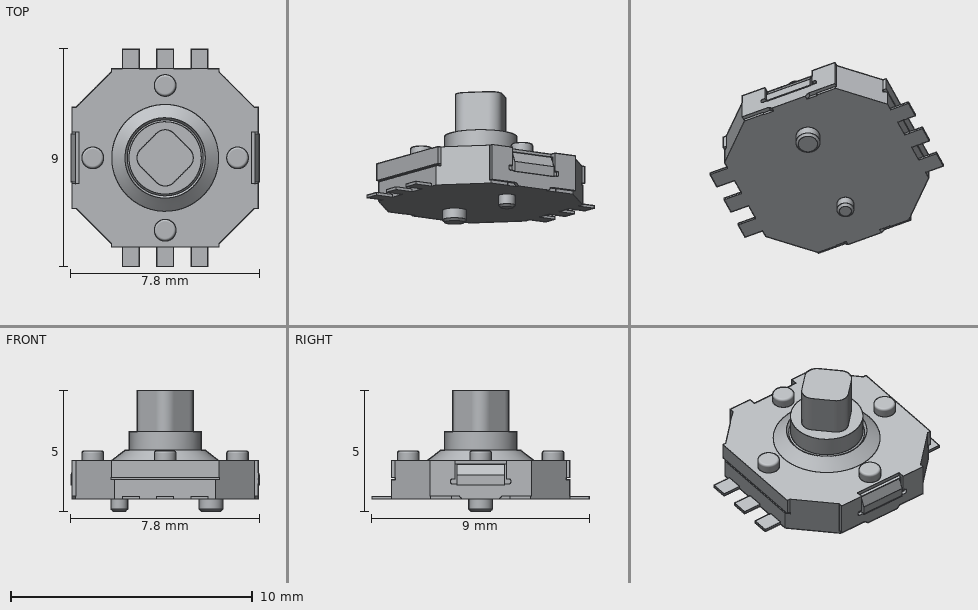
import cadquery as cq
import math


overall_width = 7.8
overall_length = 9.0
overall_height = 5.0

body_height = 1.6
base_half_x = 3.72
base_half_y = 3.7
corner_sum = 5.79

cover_thickness = 0.15
cover_half_x = 3.86
cover_corner_y = 3.55
front_flap_half_width = 2.23
groove_height = 0.08
groove_bottom = 0.81
side_flap_half_width = 2.11
side_flap_bottom = 0.135
tongue_half_width = 0.76
tongue_flare = 0.14
side_recess_half_width = 1.21
side_recess_depth = 0.03
side_inner_x = base_half_x - side_recess_depth

window_half_width = 1.07
window_inner_x = 3.57
window_bottom = 0.63
ear_half_width = 1.25
ear_height = 0.21
ear_fillet = 0.08
clip_half_width = 0.99
clip_outer_x = overall_width / 2
clip_top_x = 3.71
clip_bottom = 0.59
clip_bend_height = 1.01

collar_base_radius = 2.21
collar_top_radius = 1.665
collar_height = 0.42

post_diameter = 0.9
post_height = 0.4
post_fillet = 0.1
post_distance = 3.0
post_count = 4

small_peg_diameter = 0.7
large_peg_diameter = 1.0
peg_length = 0.5
peg_chamfer = 0.1
peg_distance = 1.9

lead_tip_y = overall_length / 2
lead_width = 0.7
lead_thickness = 0.12
lead_pitch = 1.42
leads_per_side = 3

stem_diameter = 3.0
shoulder_height = 1.2
stem_top = overall_height - peg_length
knob_width = 1.94
knob_fillet = 0.5
knob_angle = 45

collar_slope_length = math.hypot(collar_base_radius - collar_top_radius, collar_height)
rim_inset = cover_thickness * collar_height / collar_slope_length
rim_drop = cover_thickness * (collar_base_radius - collar_top_radius) / collar_slope_length
bore_radius = collar_top_radius - rim_inset
bore_top = body_height + collar_height - rim_drop
flare_rise = (bore_radius - stem_diameter / 2) * collar_height / (collar_base_radius - collar_top_radius)


def box(x_range, y_range, z_range):
    """A block between the given limits on each axis."""
    (x0, x1), (y0, y1), (z0, z1) = x_range, y_range, z_range
    return cq.Workplane("XY").box(x1 - x0, y1 - y0, z1 - z0, centered=False).translate((x0, y0, z0))


def both_sides(shape, plane):
    """The shape together with its mirror image."""
    return shape.union(shape.mirror(plane))


def make_block():
    """Octagonal block with the front and rear cover flaps, grooves below them and side recesses."""
    corner_chamfer = base_half_x + base_half_y - corner_sum
    block = cq.Workplane("XY").rect(2 * base_half_x, 2 * base_half_y).extrude(body_height)
    block = block.edges("|Z").chamfer(corner_chamfer)

    groove_top = groove_bottom + groove_height
    groove = box(
        (-base_half_x, base_half_x), (cover_corner_y, base_half_y), (groove_bottom, groove_top)
    )
    block = block.cut(both_sides(groove, "XZ"))
    flap = box(
        (-front_flap_half_width, front_flap_half_width),
        (cover_corner_y - cover_thickness, base_half_y),
        (groove_top, body_height),
    )
    recess = box(
        (side_inner_x, base_half_x),
        (-side_recess_half_width, side_recess_half_width),
        (0, side_flap_bottom),
    )
    return block.union(both_sides(flap, "XZ")).cut(both_sides(recess, "YZ"))


def make_side_flap():
    """The +X flap: a plate that ends in a flared tongue at the mounting face."""
    plate = box(
        (side_inner_x, cover_half_x),
        (-side_flap_half_width, side_flap_half_width),
        (side_flap_bottom, body_height),
    )
    foot = tongue_half_width + tongue_flare
    tongue = (
        cq.Workplane("YZ", origin=(side_inner_x, 0, 0))
        .moveTo(-foot, side_flap_bottom)
        .lineTo(-tongue_half_width, 0)
        .lineTo(tongue_half_width, 0)
        .lineTo(foot, side_flap_bottom)
        .close()
        .extrude(cover_half_x - side_inner_x)
    )
    return plate.union(tongue)


def make_window():
    """Opening of the +X flap, with an ear at each lower corner and a slot through the cover's top edge."""
    slot = box(
        (window_inner_x, cover_half_x),
        (-window_half_width, window_half_width),
        (body_height - cover_thickness, body_height),
    )
    opening = box(
        (base_half_x, cover_half_x),
        (-window_half_width, window_half_width),
        (window_bottom, body_height),
    )
    ears = box(
        (base_half_x, cover_half_x),
        (-ear_half_width, ear_half_width),
        (window_bottom, window_bottom + ear_height),
    )
    return slot.union(opening).union(ears.edges("|X").fillet(ear_fillet))


def make_clip():
    """Wedge that snaps into the +X window."""
    return (
        cq.Workplane("XZ", origin=(0, clip_half_width, 0))
        .moveTo(side_inner_x, body_height - cover_thickness)
        .lineTo(clip_top_x, body_height - cover_thickness)
        .lineTo(clip_outer_x, clip_bend_height)
        .lineTo(clip_outer_x, clip_bottom)
        .lineTo(side_inner_x, clip_bottom)
        .close()
        .extrude(2 * clip_half_width)
    )


def make_collar():
    """Conical collar on the cover."""
    return (
        cq.Workplane("XZ")
        .moveTo(0, body_height)
        .lineTo(collar_base_radius, body_height)
        .lineTo(collar_top_radius, body_height + collar_height)
        .lineTo(bore_radius, bore_top)
        .lineTo(0, bore_top)
        .close()
        .revolve(360, (0, 0, 0), (0, 1, 0))
    )


def make_posts():
    """Round posts evenly spaced around the collar."""
    return (
        cq.Workplane("XY", origin=(0, 0, body_height))
        .polarArray(post_distance, 0, 360, post_count)
        .circle(post_diameter / 2)
        .extrude(post_height)
        .faces(">Z")
        .edges()
        .fillet(post_fillet)
    )


def make_peg(x, diameter):
    """Locating peg below the mounting face."""
    peg = cq.Workplane("XY").center(x, 0).circle(diameter / 2).extrude(-peg_length)
    return peg.faces("<Z").edges().chamfer(peg_chamfer)


def make_leads():
    """Flat leads along the front and rear sides."""
    row_centre_y = (base_half_y + lead_tip_y) / 2
    return (
        cq.Workplane("XY")
        .rarray(lead_pitch, 2 * row_centre_y, leads_per_side, 2)
        .rect(lead_width, lead_tip_y - base_half_y)
        .extrude(lead_thickness)
    )


def make_housing():
    """Block, cover, posts, leads and pegs as one solid, bored for the stem."""
    window = make_window()
    side = make_side_flap().cut(window).union(make_clip())
    housing = make_block().cut(both_sides(window, "YZ")).union(both_sides(side, "YZ"))
    housing = housing.union(make_collar()).union(make_posts()).union(make_leads())
    housing = housing.union(make_peg(-peg_distance, small_peg_diameter))
    housing = housing.union(make_peg(peg_distance, large_peg_diameter))
    bore = cq.Workplane("XY", origin=(0, 0, body_height)).circle(bore_radius).extrude(collar_height)
    return housing.cut(bore)


def make_stem():
    """Round stem that flares out into the bore, topped by a rounded square knob set on its corner."""
    shoulder_top = body_height + shoulder_height
    shaft = (
        cq.Workplane("XZ")
        .moveTo(0, body_height)
        .lineTo(bore_radius, body_height)
        .lineTo(bore_radius, bore_top)
        .lineTo(stem_diameter / 2, bore_top + flare_rise)
        .lineTo(stem_diameter / 2, shoulder_top)
        .lineTo(0, shoulder_top)
        .close()
        .revolve(360, (0, 0, 0), (0, 1, 0))
    )
    knob = (
        cq.Workplane("XY", origin=(0, 0, shoulder_top))
        .rect(knob_width, knob_width)
        .extrude(stem_top - shoulder_top)
        .edges("|Z")
        .fillet(knob_fillet)
        .rotate((0, 0, 0), (0, 0, 1), knob_angle)
    )
    return shaft.union(knob)


housing = make_housing()
stem = make_stem()

result = cq.Compound.makeCompound([housing.val(), stem.val()])